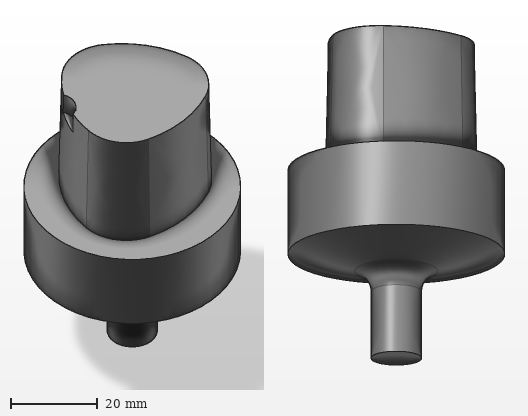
import cadquery as cq
import math

total_height = 75.0
flange_top = 45.0
flange_bottom = 25.0

flange_radius = 50.0 / 2
stem_radius = 11.6 / 2
cone_angle = 15.0
stem_fillet = 5.0

lobe_reach = 18.7
flat_reach = 16.39
lobe_radius = 11.9
taper_inset = 0.7

notch_radius = 4.5
notch_depth = 5.5
notch_inner_y = -13.9


def polar(distance, angle):
    """Point at a distance from the axis, with the angle in degrees."""
    return (
        distance * math.cos(math.radians(angle)),
        distance * math.sin(math.radians(angle)),
    )


def make_turned_body():
    """Stem, conical underside and flange, with the stem blended into the cone."""
    cone_drop = (flange_radius - stem_radius) * math.tan(math.radians(cone_angle))
    cone_bottom = flange_bottom - cone_drop
    slope = math.radians(cone_angle)
    tangent_length = stem_fillet * math.tan((math.pi / 2 - slope) / 2)
    blend_bottom = cone_bottom - tangent_length
    blend_end = (
        stem_radius + tangent_length * math.cos(slope),
        cone_bottom + tangent_length * math.sin(slope),
    )
    half_turn = (math.pi / 2 - slope) / 2
    blend_middle = (
        stem_radius + stem_fillet * (1 - math.cos(half_turn)),
        blend_bottom + stem_fillet * math.sin(half_turn),
    )
    return (
        cq.Workplane("XZ")
        .lineTo(stem_radius, 0)
        .lineTo(stem_radius, blend_bottom)
        .threePointArc(blend_middle, blend_end)
        .lineTo(flange_radius, flange_bottom)
        .lineTo(flange_radius, flange_top)
        .lineTo(0, flange_top)
        .close()
        .revolve(360, (0, 0, 0), (0, 1, 0))
    )


def draw_lobed_outline(workplane, inset):
    """Three lobes at 90, 210 and 330 degrees joined by tangent, wide flank arcs."""
    lobe_offset = lobe_reach - lobe_radius
    gap = flat_reach - lobe_offset * math.cos(math.radians(60))
    half_span = lobe_offset * math.sin(math.radians(60))
    flank_radius = (half_span**2 + gap**2 - lobe_radius**2) / (2 * (gap - lobe_radius))
    flank_offset = flank_radius - flat_reach
    rise = flank_offset + lobe_offset * math.cos(math.radians(60))
    half_flank_angle = math.atan2(half_span, rise)

    arc_radius = flank_radius - inset
    side = arc_radius * math.sin(half_flank_angle)
    outward = arc_radius * math.cos(half_flank_angle) - flank_offset
    join_distance = math.hypot(side, outward)
    join_angle = math.degrees(math.atan2(side, outward))

    outline = workplane.moveTo(*polar(join_distance, 30 - join_angle))
    for flank in (30, 150, 270):
        outline = outline.threePointArc(
            polar(flat_reach - inset, flank),
            polar(join_distance, flank + join_angle),
        )
        outline = outline.threePointArc(
            polar(lobe_reach - inset, flank + 60),
            polar(join_distance, flank + 120 - join_angle),
        )
    return outline.close()


def make_shank():
    base = draw_lobed_outline(cq.Workplane("XY").workplane(offset=flange_top), 0)
    top_plane = base.workplane(offset=total_height - flange_top)
    return draw_lobed_outline(top_plane, taper_inset).loft(ruled=True, combine=True)


def make_notch_cutter():
    return (
        cq.Workplane("XY")
        .workplane(offset=total_height - notch_depth)
        .center(0, notch_inner_y - notch_radius)
        .circle(notch_radius)
        .extrude(notch_depth)
    )


shank = make_shank().cut(make_notch_cutter())
result = make_turned_body().union(shank)